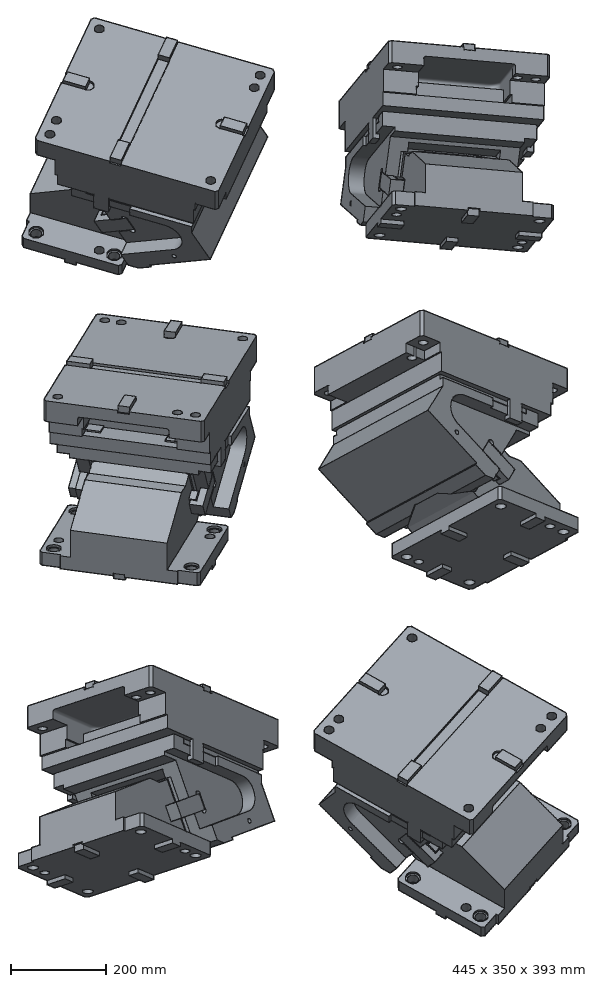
import cadquery as cq
import math


total_length = 445
total_height = 393.0
total_width = 350.0
half_width = total_width / 2
corner_chamfer = 6.0
key_width = 25.0
key_length = 50.5
key_height = 9.5
key_seat = 6.0
dowel_radius = 10.2
hole_y = 150.5

slide_angle = math.radians(30)
slider_rise = 237.5
slider_back_rise = 446.0
guide_half_run = 78.5
base_guide_top_run = -75.0

lining_half_width = 110.0
lining_depth = 6.2
crest_half_width = 37.0
flank_angle = math.radians(30)
flank_slope = math.tan(flank_angle)
lining_edge_half_width = lining_half_width + lining_depth * flank_slope
crest_rise = (lining_half_width - crest_half_width) * flank_slope - lining_depth
flank_foot_half_width = lining_half_width - lining_depth / flank_slope

base_half_width = 105.5
base_end = 228.7
flange_start = 5.5
nose_half_width = 128.0
flange_top = 40
base_front_height = 103.5
base_ledge_start = 110.0
base_ledge_height = 168.0
base_cross_key_x = 115.3
base_bolt_inset = 24.5
base_bolt_radius = 11.5
counterbore_radius = 15.5
counterbore_depth = 5.5
near_dowel_x = 171.0
far_dowel_x = 67.0

clip_run_top = -25.0
clip_run_bottom = 10.5
clip_rise = 193.5
clip_back_rise = 278.5
clip_outer_y = 139.5
clip_inner_y = 123.3
clip_hook_y = 109.5
clip_hook_end_rise = 204.5
lug_start_rise = 206.5
lug_end_rise = 228.7
lug_outer_y = 120.5
relief_radius = 6.5
relief_rise = 272.5

slider_start = 115.5
slider_end = 386.5
slider_top = 253.5
slider_nose_bottom = 212.3
slider_tail_run = 90.0
slider_bottom_run = 84.0
slider_tail_rise = 289.2
lip_bottom = 221.0
lip_ledge = 242.0
lip_narrow_y = 167.8
lip_top_y = 166.0
lip_top_start = 147.7
lip_step_x = 248.0
side_pocket_y = 141.0
side_pocket_radius = 39.5
side_pocket_center_x = 325.5
nose_recess_half_width = 99.5
side_hole_x = 347.5
side_hole_z = 126.0
side_hole_radius = 5.0
side_hole_depth = 13.5

plate_start = 35.0
plate_top = total_height - key_height
plate_bottom = 334.5
holder_step_x = 80.5
holder_step_z = 285.5
holder_lower_x = 86.5
holder_bottom = 256.0
holder_end = 391.0
tail_start = 394.3
tail_top = 323.0
tail_bottom = 301.0
tail_half_width = 124.5
holder_cross_key_x = 215.5
cross_key_margin = 3.5
end_key_margin = 4.0
key_seat_length = 68.0
hook_start = 167.5
hook_end = 200.5
hook_bottom = 211.0
hook_tongue_y = 160
left_hole_x = 60.5
right_hole_x = 420.0
left_extra_hole_y = -111.0
right_extra_hole_y = 115.0
cavity_half_width = 99.5
cavity_foot_half_width = 103.5
cavity_foot_height = 303.5
cavity_top = 355.5
cavity_pad_start = 107
cavity_pad_y = 70.8
cavity_pad_height = 3.5
cavity_ledge_x = 133.5
cavity_ledge_height = 331.0
cavity_end_x = 178
cavity_corner_radius = 22.2
cavity_roof_radius = 6.0


def box(x0, x1, y0, y1, z0, z1):
    """Box between two limits along each axis."""
    return cq.Workplane("XY").box(x1 - x0, y1 - y0, z1 - z0, centered=False).translate((x0, y0, z0))


def both_sides(shape):
    """The shape together with its mirror image in the middle plane."""
    return shape.union(shape.mirror("XZ"))


def slide_point(rise, run):
    """X and Z of a point of the slide."""
    x = rise * math.cos(slide_angle) + run * math.sin(slide_angle)
    z = rise * math.sin(slide_angle) - run * math.cos(slide_angle)
    return (x, z)


def side_prism(points, y0, y1):
    """Prism with an outline in X and Z, reaching from y0 to y1."""
    return cq.Workplane("XZ", origin=(0, y1, 0)).polyline(points).close().extrude(y1 - y0)


def slide_block(rise0, rise1, run0, run1, y0, y1):
    """Block aligned with the slide direction."""
    corners = [(rise0, run0), (rise1, run0), (rise1, run1), (rise0, run1)]
    return side_prism([slide_point(*corner) for corner in corners], y0, y1)


def guide_prism(section, run0, run1):
    """Prism along the guide; the section gives Y and the rise above the slider's sliding face."""
    x, z = slide_point(slider_rise, run0)
    down_guide = (math.sin(slide_angle), 0, -math.cos(slide_angle))
    plane = cq.Plane(origin=(x, 0, z), xDir=(0, 1, 0), normal=down_guide)
    return cq.Workplane(plane).polyline(section).close().extrude(run1 - run0)


def upright_holes(places, radius, z0, z1):
    """Vertical cylinders at the given X, Y places."""
    return cq.Workplane("XY", origin=(0, 0, z0)).pushPoints(places).circle(radius).extrude(z1 - z0)


def make_flange():
    outer = box(flange_start, base_end, -half_width, half_width, key_height, flange_top)
    outer = outer.edges("|Z").chamfer(corner_chamfer)
    nose = box(0, base_end / 2, -nose_half_width, nose_half_width, key_height, flange_top)
    return outer.union(nose)


def make_guide_ridge():
    edge_rise = (lining_half_width - base_half_width) * flank_slope - lining_depth
    section = [
        (-base_half_width, edge_rise - lining_depth),
        (-base_half_width, edge_rise),
        (-crest_half_width, crest_rise),
        (crest_half_width, crest_rise),
        (base_half_width, edge_rise),
        (base_half_width, edge_rise - lining_depth),
    ]
    return guide_prism(section, base_guide_top_run, guide_half_run)


def make_base():
    face_rise = slider_rise - lining_depth
    ledge_end = (base_guide_top_run + base_ledge_height * math.cos(slide_angle)) / math.sin(slide_angle)
    outline = [
        (0, key_height),
        (0, base_front_height),
        (base_ledge_start, base_ledge_height),
        (ledge_end, base_ledge_height),
        slide_point(face_rise, base_guide_top_run),
        slide_point(face_rise, guide_half_run),
        (base_end, flange_top),
        (base_end, key_height),
    ]
    body = side_prism(outline, -base_half_width, base_half_width)
    body = body.union(make_flange()).union(make_guide_ridge())

    lug = slide_block(
        lug_start_rise, lug_end_rise, clip_run_top, clip_run_bottom, base_half_width, lug_outer_y
    )
    body = body.union(both_sides(lug))

    bolt_x0 = flange_start + base_bolt_inset
    bolt_x1 = base_end - base_bolt_inset
    bolts = [(x, y) for x in (bolt_x0, bolt_x1) for y in (-hole_y, hole_y)]
    dowels = [(near_dowel_x, -hole_y), (far_dowel_x, hole_y)]
    body = body.cut(upright_holes(bolts, base_bolt_radius, 0, flange_top))
    body = body.cut(upright_holes(bolts, counterbore_radius, flange_top - counterbore_depth, flange_top))
    body = body.cut(upright_holes(dowels, dowel_radius, 0, flange_top))

    half_key = key_width / 2
    body = body.cut(box(0, flange_start, -half_key, half_key, 0, key_height + key_seat))
    for x0 in (flange_start, base_end - key_length):
        body = body.union(box(x0, x0 + key_length, -half_key, half_key, 0, key_height + key_seat))
    cross_key = box(
        base_cross_key_x - half_key,
        base_cross_key_x + half_key,
        half_width - key_length,
        half_width,
        0,
        key_height,
    )
    return body.union(both_sides(cross_key))


def make_slider_block():
    tail_x, tail_z = slide_point(slider_rise, guide_half_run)
    tail_end_x = (slider_tail_run + tail_z * math.cos(slide_angle)) / math.sin(slide_angle)
    nose_x = (slider_rise - slider_nose_bottom * math.sin(slide_angle)) / math.cos(slide_angle)
    back_z = (slider_back_rise - slider_end * math.cos(slide_angle)) / math.sin(slide_angle)
    outline = [
        (slider_start, slider_top),
        (slider_start, slider_nose_bottom),
        (nose_x, slider_nose_bottom),
        (tail_x, tail_z),
        (tail_end_x, tail_z),
        slide_point(slider_tail_rise, slider_tail_run),
        slide_point(slider_tail_rise, slider_bottom_run),
        slide_point(slider_back_rise, slider_bottom_run),
        (slider_end, back_z),
        (slider_end, slider_top),
    ]
    return side_prism(outline, -half_width, half_width)


def make_side_pocket():
    """Pocket below the lip, open towards the base, with a round inner end."""
    center_z = lip_bottom - side_pocket_radius
    turn_x = side_pocket_center_x + side_pocket_radius * math.sin(slide_angle)
    turn_z = center_z - side_pocket_radius * math.cos(slide_angle)
    middle_angle = slide_angle / 2
    middle_x = side_pocket_center_x + side_pocket_radius * math.cos(middle_angle)
    middle_z = center_z + side_pocket_radius * math.sin(middle_angle)
    drop = turn_x * math.tan(slide_angle)
    return (
        cq.Workplane("XZ", origin=(0, half_width, 0))
        .moveTo(0, lip_bottom)
        .lineTo(side_pocket_center_x, lip_bottom)
        .threePointArc((middle_x, middle_z), (turn_x, turn_z))
        .lineTo(0, turn_z - drop)
        .close()
        .extrude(half_width - side_pocket_y)
    )


def make_clip():
    """Clip reaching from the slider over the base, with a hook at its free end."""
    arm = slide_block(
        clip_rise, clip_back_rise, clip_run_top, clip_run_bottom, clip_inner_y, clip_outer_y
    )
    hook = slide_block(
        clip_rise, clip_hook_end_rise, clip_run_top, clip_run_bottom, clip_hook_y, clip_outer_y
    )
    return arm.union(hook)


def make_clip_seat():
    """Seat of a clip with two round reliefs at its inner corners."""
    seat = slide_block(
        slider_rise, clip_back_rise, clip_run_top, clip_run_bottom, clip_inner_y, side_pocket_y
    )
    corners = [slide_point(relief_rise, run) for run in (clip_run_top, clip_run_bottom)]
    reliefs = (
        cq.Workplane("XZ", origin=(0, side_pocket_y, 0))
        .pushPoints(corners)
        .circle(relief_radius)
        .extrude(side_pocket_y - clip_inner_y)
    )
    return seat.union(reliefs)


def make_slider():
    body = make_slider_block()

    narrow_lip = box(0, lip_step_x, lip_narrow_y, half_width, lip_bottom, slider_top)
    upper_lip = box(lip_top_start, slider_end, lip_top_y, half_width, lip_ledge, slider_top)
    side_hole = (
        cq.Workplane("XZ", origin=(side_hole_x, half_width, side_hole_z))
        .circle(side_hole_radius)
        .extrude(side_hole_depth)
    )
    for cutter in (narrow_lip, upper_lip, make_side_pocket(), side_hole, make_clip_seat()):
        body = body.cut(both_sides(cutter))
    body = body.union(both_sides(make_clip()))

    lining_edge = guide_prism(
        [(lining_edge_half_width, 0), (lining_half_width, -lining_depth), (flank_foot_half_width, 0)],
        -guide_half_run,
        guide_half_run,
    )
    body = body.union(both_sides(lining_edge))
    groove = [
        (-flank_foot_half_width, 0),
        (-crest_half_width, crest_rise),
        (crest_half_width, crest_rise),
        (flank_foot_half_width, 0),
    ]
    body = body.cut(guide_prism(groove, -guide_half_run, slider_tail_run))

    crest_x, crest_z = slide_point(slider_rise + crest_rise, -guide_half_run)
    face_x = (slider_rise - crest_z * math.sin(slide_angle)) / math.cos(slide_angle)
    recess = [(face_x, crest_z), (crest_x, crest_z), slide_point(slider_rise, -guide_half_run)]
    return body.cut(side_prism(recess, -nose_recess_half_width, nose_recess_half_width))


def make_plate():
    left = box(plate_start, total_length / 2, -half_width, half_width, plate_bottom, plate_top)
    right = box(total_length / 2, total_length, -half_width, half_width, tail_top, plate_top)
    left = left.edges("|Z and <X").chamfer(corner_chamfer)
    right = right.edges("|Z and >X").chamfer(corner_chamfer)
    return left.union(right)


def make_hook():
    """Hook whose tongue reaches under the lip of the slider."""
    arm = box(hook_start, hook_end, lip_narrow_y, half_width, hook_bottom, holder_bottom)
    tongue = box(hook_start, hook_end, hook_tongue_y, half_width, hook_bottom, lip_bottom)
    return arm.union(tongue)


def make_cavity():
    """Undercut cavity from the left, with two floor pads and a rounded pocket at its inner end."""
    mouth = box(
        0, cavity_ledge_x, -cavity_half_width, cavity_half_width, holder_step_z, cavity_top
    )
    mouth = mouth.edges("|X and >Z").fillet(cavity_roof_radius)
    foot = box(
        0,
        cavity_ledge_x,
        -cavity_foot_half_width,
        cavity_foot_half_width,
        holder_step_z,
        cavity_foot_height,
    )
    pocket = box(0, cavity_end_x, -cavity_half_width, cavity_half_width, cavity_ledge_height, cavity_top)
    pocket = pocket.edges("|Z and >X").fillet(cavity_corner_radius)
    pocket = pocket.faces(">Z").edges("not <X").fillet(cavity_roof_radius)
    pad = box(
        cavity_pad_start,
        cavity_ledge_x,
        cavity_pad_y,
        cavity_foot_half_width,
        holder_step_z,
        holder_step_z + cavity_pad_height,
    )
    return mouth.union(foot).union(pocket).cut(both_sides(pad))


def make_key_seat(end_x, direction):
    """Seat for an end key: open at the plate end and round at the other end."""
    half_key = key_width / 2
    round_x = end_x + direction * (key_seat_length - half_key)
    straight = box(
        min(end_x, round_x), max(end_x, round_x), -half_key, half_key, plate_top - key_seat, plate_top
    )
    return straight.union(upright_holes([(round_x, 0)], half_key, plate_top - key_seat, plate_top))


def make_holder():
    block_outline = [
        (holder_step_x, plate_top),
        (holder_step_x, holder_step_z),
        (holder_lower_x, holder_step_z),
        (holder_lower_x, holder_bottom),
        (holder_end, holder_bottom),
        (holder_end, tail_bottom),
        (tail_start, tail_bottom),
        (tail_start, plate_top),
    ]
    body = side_prism(block_outline, -half_width, half_width).union(make_plate())
    tail = box(tail_start, total_length, -tail_half_width, tail_half_width, tail_bottom, tail_top)
    body = body.union(tail).union(both_sides(make_hook())).cut(make_cavity())

    left_holes = [(left_hole_x, y) for y in (-hole_y, left_extra_hole_y, hole_y)]
    right_holes = [(right_hole_x, y) for y in (-hole_y, right_extra_hole_y, hole_y)]
    body = body.cut(upright_holes(left_holes + right_holes, dowel_radius, tail_bottom, plate_top))

    half_key = key_width / 2
    seat_bottom = plate_top - key_seat
    cross_x0 = holder_cross_key_x - half_key
    cross_x1 = holder_cross_key_x + half_key
    body = body.cut(box(cross_x0, cross_x1, -half_width, half_width, seat_bottom, plate_top))
    cross_key_end = half_width - cross_key_margin
    cross_key = box(
        cross_x0, cross_x1, cross_key_end - key_length, cross_key_end, seat_bottom, total_height
    )
    body = body.union(both_sides(cross_key))

    body = body.cut(make_key_seat(plate_start, 1)).cut(make_key_seat(total_length, -1))
    for x0 in (plate_start + end_key_margin, total_length - end_key_margin - key_length):
        body = body.union(box(x0, x0 + key_length, -half_key, half_key, seat_bottom, total_height))
    return body


base = make_base()
slider = make_slider()
holder = make_holder()

result = cq.Compound.makeCompound([base.val(), slider.val(), holder.val()])